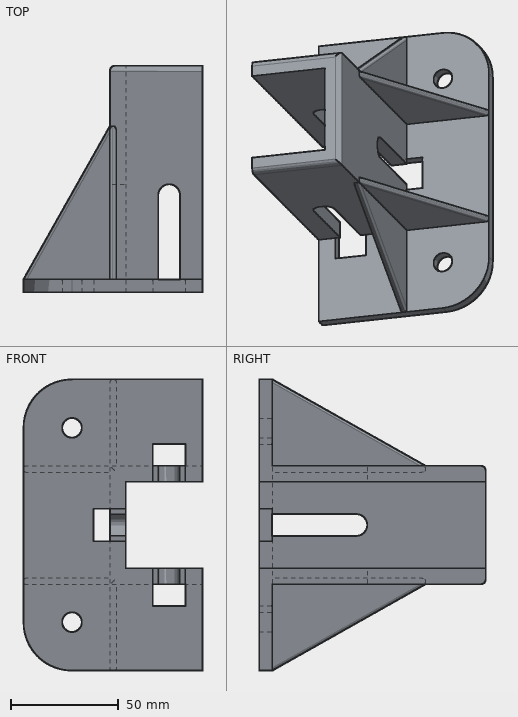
import cadquery as cq


PLATE_WIDTH = 83.0
PLATE_HEIGHT = 135.0
PLATE_THICKNESS = 6.0
CORNER_RADIUS = 22.5
HOLE_DIAMETER = 9.0

CHANNEL_LENGTH = 105.0
OPENING_HEIGHT = 40.0
OPENING_DEPTH = 35.5
WALL = 7.5
END_ROUND = 2.5

SLOT_WIDTH = 10.0
SLOT_END = 50.0
SIDE_SLOT_X = -15.5
WINDOW_WIDTH = 15.0
SIDE_WINDOW_REACH = 17.5
BACK_WINDOW_REACH = 15.0

RIB_THICKNESS = 3.0
RIB_END = 77.0
RIB_ROUND = 1.2

CHANNEL_HEIGHT = OPENING_HEIGHT + 2 * WALL
CHANNEL_DEPTH = OPENING_DEPTH + WALL
HOLE_X = -PLATE_WIDTH + CORNER_RADIUS
HOLE_Z = PLATE_HEIGHT / 2 - CORNER_RADIUS


def block(x_range, y_range, z_range):
    """Box filling the given ranges along X, Y and Z."""
    lows, highs = zip(x_range, y_range, z_range)
    sizes = [high - low for low, high in zip(lows, highs)]
    return cq.Workplane("XY").box(*sizes, centered=False).translate(lows)


def centred(size, middle=0.0):
    """Range of the given size around its middle."""
    return middle - size / 2, middle + size / 2


def make_plate():
    """Flat plate with two rounded corners and concentric screw holes."""
    plate = block((-PLATE_WIDTH, 0), (0, PLATE_THICKNESS), centred(PLATE_HEIGHT))
    plate = plate.edges("|Y and <X").fillet(CORNER_RADIUS)
    holes = (
        cq.Workplane("XZ")
        .pushPoints([(HOLE_X, HOLE_Z), (HOLE_X, -HOLE_Z)])
        .circle(HOLE_DIAMETER / 2)
        .extrude(-PLATE_THICKNESS)
    )
    return plate.cut(holes)


def make_channel_body():
    """Solid outer form of the channel, rounded on its far end except along the open side."""
    body = block((-CHANNEL_DEPTH, 0), (0, CHANNEL_LENGTH), centred(CHANNEL_HEIGHT))
    return body.faces(">Y").edges("<X or >Z or <Z").fillet(END_ROUND)


def make_rib(plane, offset, corners):
    """Triangular rib extruded from an offset plane, rounded along both sides of its slope."""
    rib = cq.Workplane(plane).workplane(offset=offset).polyline(corners).close().extrude(RIB_THICKNESS)
    slope = rib.faces("not(|X or |Y or |Z)")
    return slope.edges("not(|X or |Y or |Z)").fillet(RIB_ROUND)


def make_back_rib():
    """Rib reaching towards -X, flush with the top of the channel."""
    corners = [
        (-PLATE_WIDTH, PLATE_THICKNESS),
        (-CHANNEL_DEPTH, RIB_END),
        (-CHANNEL_DEPTH, PLATE_THICKNESS),
    ]
    return make_rib("XY", CHANNEL_HEIGHT / 2 - RIB_THICKNESS, corners)


def make_top_rib():
    """Rib reaching towards +Z, flush with the back of the channel."""
    corners = [
        (PLATE_THICKNESS, PLATE_HEIGHT / 2),
        (RIB_END, CHANNEL_HEIGHT / 2),
        (PLATE_THICKNESS, CHANNEL_HEIGHT / 2),
    ]
    return make_rib("YZ", -CHANNEL_DEPTH, corners)


def make_opening():
    """Rectangular passage through plate and channel, open towards +X."""
    return block((-OPENING_DEPTH, 0), (0, CHANNEL_LENGTH), centred(OPENING_HEIGHT))


def make_slot(plane, middle, length):
    """Slot along Y with a round far end, extruded by the given length from its plane."""
    straight_end = SLOT_END - SLOT_WIDTH / 2
    return (
        cq.Workplane(plane)
        .moveTo(middle - SLOT_WIDTH / 2, 0)
        .lineTo(middle - SLOT_WIDTH / 2, straight_end)
        .threePointArc((middle, SLOT_END), (middle + SLOT_WIDTH / 2, straight_end))
        .lineTo(middle + SLOT_WIDTH / 2, 0)
        .close()
        .extrude(length)
    )


def make_side_cut():
    """Slot through the upper channel wall together with its window in the plate."""
    slot = make_slot("XY", SIDE_SLOT_X, CHANNEL_HEIGHT / 2)
    window = block(
        centred(WINDOW_WIDTH, SIDE_SLOT_X),
        (0, PLATE_THICKNESS),
        (0, OPENING_HEIGHT / 2 + SIDE_WINDOW_REACH),
    )
    return slot.union(window)


def make_back_cut():
    """Slot through the back channel wall together with its window in the plate."""
    facing_back = cq.Plane(origin=(0, 0, 0), xDir=(0, 0, 1), normal=(-1, 0, 0))
    slot = make_slot(facing_back, 0, CHANNEL_DEPTH)
    window = block(
        (-OPENING_DEPTH - BACK_WINDOW_REACH, 0), (0, PLATE_THICKNESS), centred(WINDOW_WIDTH)
    )
    return slot.union(window)


def with_mirror(shape):
    """Shape joined with its reflection in the plane Z = 0."""
    return shape.union(shape.mirror("XY"))


result = make_plate().union(make_channel_body())
for rib in (make_back_rib(), make_top_rib()):
    result = result.union(with_mirror(rib))
result = result.cut(make_opening())
result = result.cut(make_back_cut())
result = result.cut(with_mirror(make_side_cut()))